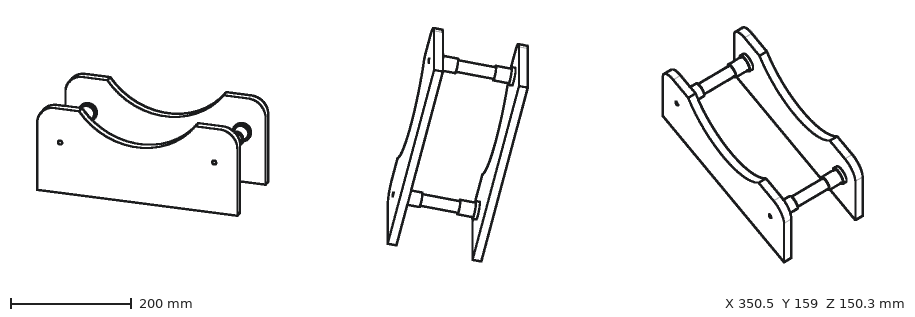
import cadquery as cq

plate_length = 350.5
plate_height = 150.3
plate_thickness = 15.0
corner_radius = 30.0
overall_width = 159.0
plate_gap = overall_width - 2 * plate_thickness

cradle_half_width = 101.5
cradle_depth = 51.0

hole_diameter = 7.0
rod_spacing = 269.8
rod_height = 90.0
rod_positions = [-rod_spacing / 2, rod_spacing / 2]

flange_diameter = 30.0
flange_length = 6.3
sleeve_diameter = 25.0
sleeve_length = 26.0
shaft_diameter = 20.0
bore_diameter = 6.5


def cylinder_along_y(diameter, start_y, length, center_x):
    """Cylinder at rod height that starts at start_y and extends toward +Y."""
    return (
        cq.Workplane("XZ", origin=(center_x, start_y, rod_height))
        .circle(diameter / 2)
        .extrude(-length)
    )


def make_plate(start_y):
    """Cradle plate occupying start_y to start_y + plate_thickness."""
    half_length = plate_length / 2
    corner_start_x = half_length - corner_radius
    plate = (
        cq.Workplane("XZ", origin=(0, start_y, 0))
        .moveTo(-half_length, 0)
        .lineTo(half_length, 0)
        .lineTo(half_length, plate_height - corner_radius)
        .radiusArc((corner_start_x, plate_height), -corner_radius)
        .lineTo(cradle_half_width, plate_height)
        .threePointArc((0, plate_height - cradle_depth), (-cradle_half_width, plate_height))
        .lineTo(-corner_start_x, plate_height)
        .radiusArc((-half_length, plate_height - corner_radius), -corner_radius)
        .close()
        .extrude(-plate_thickness)
    )
    for x in rod_positions:
        plate = plate.cut(cylinder_along_y(hole_diameter, start_y, plate_thickness, x))
    return plate


def make_spacer_rod(center_x):
    """Rod between the plates, with a sleeve and a flange at each end."""
    inner_face = plate_gap / 2
    rod = cylinder_along_y(shaft_diameter, -inner_face, plate_gap, center_x)
    for diameter, length in [
        (flange_diameter, flange_length),
        (sleeve_diameter, flange_length + sleeve_length),
    ]:
        rod = rod.union(cylinder_along_y(diameter, -inner_face, length, center_x))
        rod = rod.union(cylinder_along_y(diameter, inner_face - length, length, center_x))
    return rod.cut(cylinder_along_y(bore_diameter, -inner_face, plate_gap, center_x))


plates = [make_plate(y) for y in (-overall_width / 2, plate_gap / 2)]
spacer_rods = [make_spacer_rod(x) for x in rod_positions]

result = cq.Compound.makeCompound([body.val() for body in plates + spacer_rods])